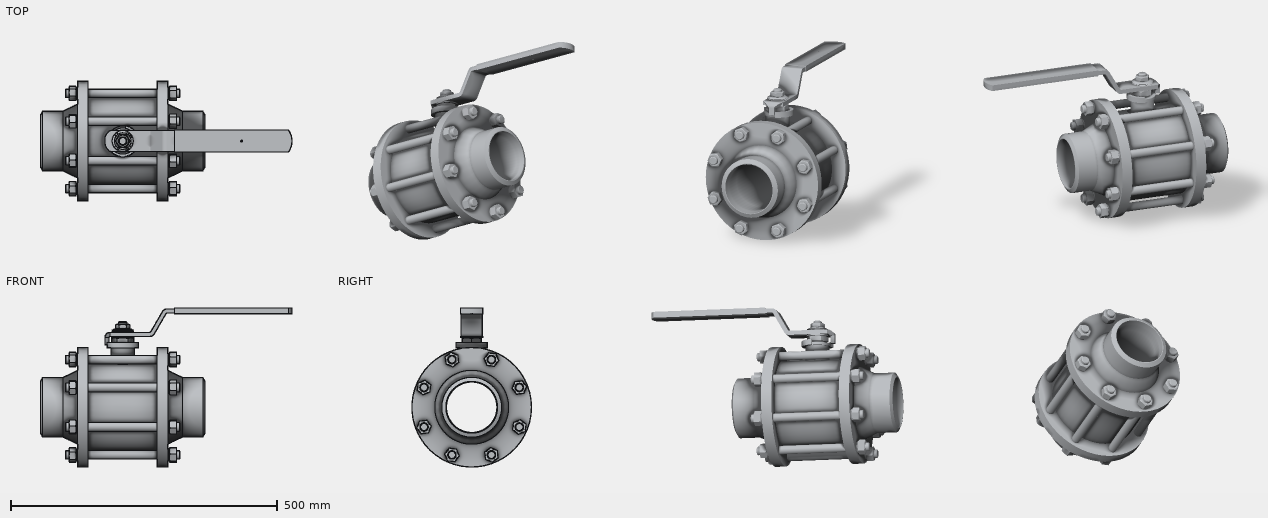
import cadquery as cq
import math


overall_length = 472.5

half_length = 154.5
bore_radius = 47.3
pipe_radius = 56.2
bevel_length = 4.3
bevel_depth = 7.5
cone_start = 112.0
cone_radius = 69.5
flange_outer_x = 84.5
flange_inner_x = 64.7
flange_radius = 112.5
shell_radius = 85.0

stud_count = 8
stud_circle_radius = 97.0
stud_radius = 8.0
stud_half_length = 107.7
thread_chamfer = 1.5
nut_width = 24.0
nut_outer_x = 101.0
nut_face_height = 2.5
nut_chamfer_inset = 1.0
nut_chamfer_angle = 30
nut_turn_left = 30
nut_turn_right = 45

neck_radius = 22.0
neck_bottom = 56.5
moat_radius = 28.5
moat_floor = 73.2
collar_radius = 30.0
collar_bottom = 111.5
collar_top = 122.0
recess_radius = 24.5
recess_floor = 116.5
notch_side = 5.5
gland_neck_radius = 15.5
gland_nut_bottom = 120.5
gland_nut_width = 36.0
gland_washer_radius = 21.0
gland_washer_bottom = 131.0
stem_radius = 8.0
stem_top = 160.5
stem_nut_bottom = 147.0
stem_nut_top = 156.0
spring_outer_radius = 20.0
spring_waist_radius = 17.5
spring_neck_radius = 15.5
spring_lower_rim = 142.2
spring_waist = 143.0
spring_upper_rim = 144.5

lever_thickness = 8.0
lever_width = 40.0
lever_bottom = 133.0
lever_top = lever_bottom + lever_thickness
upper_bottom = 176.7
upper_top = upper_bottom + lever_thickness
lever_slope = 60
slope_start_x = 52.0
bend_inner_radius = 2.5
bend_outer_radius = bend_inner_radius + lever_thickness
tab_width = 10.0
tab_outer_x = 33.5
tab_inner_x = tab_outer_x - lever_thickness
tab_bottom = 117.0
tab_bend_x = 23.5
tab_bend_radius = tab_outer_x - tab_bend_x
tab_bend_z = lever_top - tab_bend_radius

grip_thickness = 11.5
grip_width = 42.0
grip_start_x = 97.0
grip_end_x = overall_length - half_length
grip_end_sag = 7.0
grip_hole_x = 223.0
grip_hole_diameter = 3.0
grip_bottom = 175.5


def hex_circle(width_across_flats):
    """Diameter of the circle through the corners of a hexagon."""
    return width_across_flats / math.cos(math.radians(30))


def disc(radius, bottom, top):
    """Upright cylinder on the stem axis."""
    return cq.Workplane("XY").workplane(offset=bottom).circle(radius).extrude(top - bottom)


def hex_nut(width, height, chamfer_bottom, chamfer_top):
    """Upright hexagon from z = 0 with a corner on X, its corners cut back by cones at the chosen ends."""
    corner = hex_circle(width) / 2
    chamfer_radius = width / 2 - nut_chamfer_inset
    drop = (corner - chamfer_radius) * math.tan(math.radians(nut_chamfer_angle))
    bottom_radius = chamfer_radius if chamfer_bottom else corner
    top_radius = chamfer_radius if chamfer_top else corner
    outline = [(0, 0), (bottom_radius, 0)]
    if chamfer_bottom:
        outline.append((corner, drop))
    if chamfer_top:
        outline.append((corner, height - drop))
    outline += [(top_radius, height), (0, height)]
    envelope = cq.Workplane("XZ").polyline(outline).close().revolve(360, (0, 0), (0, 1))
    prism = cq.Workplane("XY").polygon(6, hex_circle(width)).extrude(height)
    return prism.intersect(envelope)


def pressure_shell():
    """Pipe ends, cones, flanges and middle shell, without the bore."""
    half_outline = [
        (flange_inner_x, shell_radius),
        (flange_inner_x, flange_radius),
        (flange_outer_x, flange_radius),
        (flange_outer_x, cone_radius),
        (cone_start, pipe_radius),
        (half_length - bevel_length, pipe_radius),
        (half_length, pipe_radius - bevel_depth),
        (half_length, 0),
    ]
    mirrored = [(-x, radius) for x, radius in reversed(half_outline)]
    return cq.Workplane("XY").polyline(mirrored + half_outline).close().revolve(360, (0, 0), (1, 0))


def flange_nut(turn, chamfer_outer):
    """Nut on the +X side of the flange, centred on X, with a round bearing face."""
    height = nut_outer_x - flange_outer_x - nut_face_height
    face = cq.Workplane("XY").circle(nut_width / 2 - nut_chamfer_inset).extrude(nut_face_height)
    nut = hex_nut(nut_width, height, True, chamfer_outer).translate((0, 0, nut_face_height))
    upright_nut = face.union(nut).rotate((0, 0, 0), (0, 0, 1), turn)
    return upright_nut.rotate((0, 0, 0), (0, 1, 0), 90).translate((flange_outer_x, 0, 0))


def stud_with_nuts():
    """Stud along X with a nut at each end, standing above the pipe axis."""
    stud = (
        cq.Workplane("YZ")
        .workplane(offset=-stud_half_length)
        .circle(stud_radius)
        .extrude(2 * stud_half_length)
        .faces("<X or >X")
        .chamfer(thread_chamfer)
    )
    right_nut = flange_nut(nut_turn_right, False)
    left_nut = flange_nut(nut_turn_left, True).mirror("YZ")
    return stud.union(right_nut).union(left_nut).translate((0, 0, stud_circle_radius))


def collar():
    """Collar with a round recess in its top and a quarter-turn notch for the lever stop."""
    ring = disc(collar_radius, collar_bottom, collar_top)
    height = collar_top - collar_bottom
    side = collar_radius + notch_side
    notch = (
        cq.Workplane("XY")
        .workplane(offset=collar_bottom)
        .center(notch_side - side / 2, side / 2 - notch_side)
        .rect(side, side)
        .extrude(height)
    )
    notch = notch.cut(disc(recess_radius, collar_bottom, collar_top))
    return ring.cut(notch).cut(disc(recess_radius, recess_floor, collar_top))


def spring_washers():
    """Two conical spring washers between the lever and the stem nut."""
    outline = [
        (0, lever_top),
        (spring_waist_radius, lever_top),
        (spring_outer_radius, spring_lower_rim),
        (spring_waist_radius, spring_waist),
        (spring_outer_radius, spring_upper_rim),
        (spring_neck_radius, stem_nut_bottom),
        (0, stem_nut_bottom),
    ]
    return cq.Workplane("XZ").polyline(outline).close().revolve(360, (0, 0), (0, 1))


def stem_column():
    """Neck, collar, gland nut, washers, stem and stem nut."""
    neck = disc(neck_radius, neck_bottom, collar_bottom)
    gland_neck = disc(gland_neck_radius, recess_floor, gland_nut_bottom)
    gland_height = gland_washer_bottom - gland_nut_bottom
    gland_nut = hex_nut(gland_nut_width, gland_height, False, True).translate((0, 0, gland_nut_bottom))
    gland_washer = disc(gland_washer_radius, gland_washer_bottom, lever_bottom)
    stem = disc(stem_radius, collar_bottom, stem_top).faces(">Z").chamfer(thread_chamfer)
    stem_nut_height = stem_nut_top - stem_nut_bottom
    stem_nut = hex_nut(nut_width, stem_nut_height, True, True).translate((0, 0, stem_nut_bottom))
    column = neck
    for piece in (collar(), gland_neck, gland_nut, gland_washer, stem, spring_washers(), stem_nut):
        column = column.union(piece)
    return column


def make_valve():
    """Housing, stem column and studs as one solid, with the bore along X."""
    moat = disc(moat_radius, moat_floor, shell_radius)
    valve = pressure_shell().cut(moat).union(stem_column())
    first_stud = stud_with_nuts()
    for index in range(stud_count):
        angle = (index + 0.5) * 360 / stud_count
        valve = valve.union(first_stud.rotate((0, 0, 0), (1, 0, 0), angle))
    bore = cq.Workplane("YZ").workplane(offset=-half_length).circle(bore_radius).extrude(2 * half_length)
    return valve.cut(bore)


def lever_strip():
    """Flat strip that rises on a slope between two bends."""
    slope = math.radians(lever_slope)
    shift = lever_thickness * math.tan(slope / 2)
    rise_x = (upper_top - lever_top) / math.tan(slope)
    upper_bend_x = slope_start_x + rise_x
    outline = [
        (-tab_bend_x, lever_bottom),
        (slope_start_x + shift, lever_bottom),
        (upper_bend_x + shift, upper_bottom),
        (grip_start_x, upper_bottom),
        (grip_start_x, upper_top),
        (upper_bend_x, upper_top),
        (slope_start_x, lever_top),
        (-tab_bend_x, lever_top),
    ]
    strip = cq.Workplane("XZ").polyline(outline).close().extrude(lever_width / 2, both=True)

    def bend_edge(x, z):
        return cq.selectors.NearestToPointSelector((x, 0, z))

    strip = strip.edges(bend_edge(slope_start_x, lever_top)).fillet(bend_inner_radius)
    strip = strip.edges(bend_edge(slope_start_x + shift, lever_bottom)).fillet(bend_outer_radius)
    strip = strip.edges(bend_edge(upper_bend_x + shift, upper_bottom)).fillet(bend_inner_radius)
    return strip.edges(bend_edge(upper_bend_x, upper_top)).fillet(bend_outer_radius)


def lever_stop():
    """Tab bent down at the stem end; it narrows through the bend and stands in the collar notch."""
    inner_radius = tab_bend_radius - lever_thickness
    diagonal = math.sqrt(0.5)
    bend = (
        cq.Workplane("XZ")
        .moveTo(-tab_bend_x, lever_top)
        .threePointArc(
            (-tab_bend_x - tab_bend_radius * diagonal, tab_bend_z + tab_bend_radius * diagonal),
            (-tab_outer_x, tab_bend_z),
        )
        .lineTo(-tab_inner_x, tab_bend_z)
        .threePointArc(
            (-tab_bend_x - inner_radius * diagonal, tab_bend_z + inner_radius * diagonal),
            (-tab_bend_x, lever_bottom),
        )
        .close()
        .extrude(lever_width / 2, both=True)
    )
    taper_reach = tab_bend_radius * diagonal
    taper = (
        cq.Workplane("XY")
        .polyline(
            [
                (taper_reach, lever_width / 2),
                (-taper_reach, tab_width / 2),
                (-taper_reach, -tab_width / 2),
                (taper_reach, -lever_width / 2),
            ]
        )
        .close()
        .extrude(tab_bend_radius)
        .rotate((0, 0, 0), (0, 1, 0), -45)
        .translate((-tab_bend_x, 0, tab_bend_z))
    )
    tab = (
        cq.Workplane("XY")
        .workplane(offset=tab_bottom)
        .center(-(tab_outer_x + tab_inner_x) / 2, 0)
        .rect(lever_thickness, tab_width)
        .extrude(tab_bend_z - tab_bottom)
    )
    return bend.intersect(taper).union(tab)


def grip():
    """Thicker end of the lever with an arched end and a small hole."""
    side_end_x = grip_end_x - grip_end_sag
    blank = (
        cq.Workplane("XY")
        .workplane(offset=grip_bottom)
        .moveTo(grip_start_x, -grip_width / 2)
        .lineTo(side_end_x, -grip_width / 2)
        .threePointArc((grip_end_x, 0), (side_end_x, grip_width / 2))
        .lineTo(grip_start_x, grip_width / 2)
        .close()
        .extrude(grip_thickness)
    )
    return blank.faces(">Z").workplane(origin=(grip_hole_x, 0, 0)).hole(grip_hole_diameter)


def make_lever():
    """Strip, stop and grip as one solid, with a hole for the stem."""
    lever = lever_strip().union(lever_stop()).union(grip())
    return lever.cut(disc(stem_radius, lever_bottom, lever_top))


valve = make_valve()
lever = make_lever()
result = cq.Compound.makeCompound([valve.val(), lever.val()])